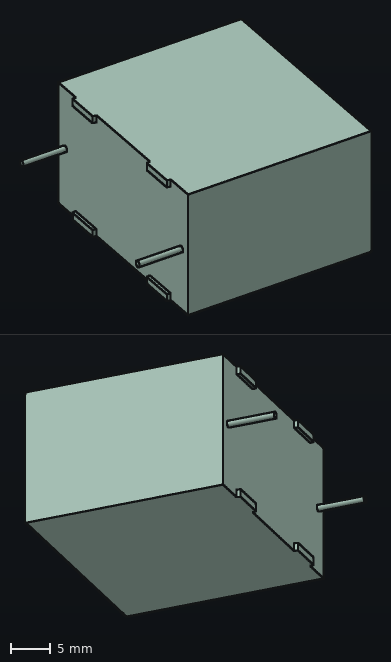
import cadquery as cq

WIDTH = 30.8
TOTAL_LENGTH = 34.3
HEIGHT = 18.3

LEAD_LENGTH = 6.5
LEAD_DIAMETER = 0.9
LEAD_PITCH = 27.5

CASE_LENGTH = TOTAL_LENGTH - LEAD_LENGTH
BACK_EDGE_RADIUS = 0.48

FOOT_SPACING = 17.6
FOOT_BASE_WIDTH = 4.97
FOOT_TIP_WIDTH = 4.75
FOOT_HEIGHT = 1.05
FOOT_DEPTH = 0.5



def make_foot(x_center, z_bottom):
    """Foot whose sides taper toward its tip, standing on the front face."""
    half_base = FOOT_BASE_WIDTH / 2
    half_tip = FOOT_TIP_WIDTH / 2
    outline = [
        (-half_base, 0),
        (-half_tip, -FOOT_DEPTH),
        (half_tip, -FOOT_DEPTH),
        (half_base, 0),
    ]
    foot = cq.Workplane("XY").polyline(outline).close().extrude(FOOT_HEIGHT)
    return foot.translate((x_center, 0, z_bottom))


def make_case():
    """Rectangular case with a rounded back rim and four feet flush with top and bottom."""
    case = cq.Workplane("XY").box(WIDTH, CASE_LENGTH, HEIGHT, centered=(True, False, True))
    case = case.faces(">Y").edges().fillet(BACK_EDGE_RADIUS)
    for x_center in (-FOOT_SPACING / 2, FOOT_SPACING / 2):
        for z_bottom in (-HEIGHT / 2, HEIGHT / 2 - FOOT_HEIGHT):
            case = case.union(make_foot(x_center, z_bottom))
    return case


def make_lead(x_center):
    """Straight round lead ending on the front face of the case."""
    return cq.Workplane("XZ").center(x_center, 0).circle(LEAD_DIAMETER / 2).extrude(LEAD_LENGTH)


case = make_case()
leads = [make_lead(x_center) for x_center in (-LEAD_PITCH / 2, LEAD_PITCH / 2)]

result = cq.Compound.makeCompound([case.val(), *[lead.val() for lead in leads]])